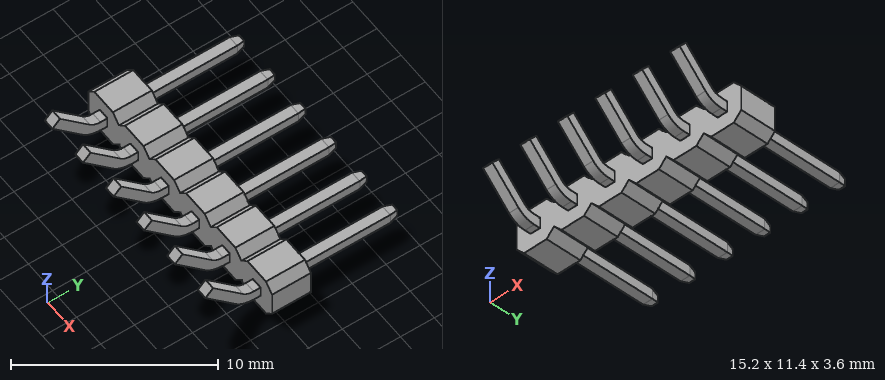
import cadquery as cq
import math


pin_count = 6
row_length = 15.24
pitch = row_length / pin_count
housing_height = 2.5
housing_depth = 2.3
corner_cut = 0.5

pin_size = 0.64
tip_size = 0.43
tip_length = 0.5
mating_length = 5.85

tail_stub = 0.41
bend_inner_radius = 0.88
bend_angle = 45.0
tail_length = 2.5


def housing_cell():
    """One pitch of the housing: a block with its four edges along Y cut at 45 degrees."""
    block = cq.Workplane("XY").box(pitch, housing_depth, housing_height)
    return block.edges("|Y").chamfer(corner_cut).translate((0, housing_depth / 2, 0))


def straight_pin():
    """Square bar from the start of the bend to the base of the tapered tip."""
    bar_length = tail_stub + housing_depth + mating_length - tip_length
    bar = cq.Workplane("XY").box(pin_size, bar_length, pin_size)
    return bar.translate((0, bar_length / 2 - tail_stub, 0))


def tapered_tip():
    """Four-sided taper that ends the pin on the mating side."""
    tip_base = housing_depth + mating_length - tip_length
    return (
        cq.Workplane("XZ", origin=(0, tip_base, 0))
        .rect(pin_size, pin_size)
        .workplane(offset=-tip_length)
        .rect(tip_size, tip_size)
        .loft(ruled=True)
    )


def bent_tail():
    """Circular bend followed by a straight stretch rising toward -Y, drawn as a YZ outline."""
    bend_outer_radius = bend_inner_radius + pin_size
    center_y = -tail_stub
    center_z = pin_size / 2 + bend_inner_radius
    bend_turn = math.radians(bend_angle)
    run_y = -tail_length * math.cos(bend_turn)
    rise_z = tail_length * math.sin(bend_turn)

    def on_bend(radius, turn):
        return (center_y - radius * math.sin(turn), center_z - radius * math.cos(turn))

    return (
        cq.Workplane("YZ")
        .moveTo(*on_bend(bend_outer_radius, 0))
        .threePointArc(on_bend(bend_outer_radius, bend_turn / 2), on_bend(bend_outer_radius, bend_turn))
        .line(run_y, rise_z)
        .lineTo(
            on_bend(bend_inner_radius, bend_turn)[0] + run_y,
            on_bend(bend_inner_radius, bend_turn)[1] + rise_z,
        )
        .line(-run_y, -rise_z)
        .threePointArc(on_bend(bend_inner_radius, bend_turn / 2), on_bend(bend_inner_radius, 0))
        .close()
        .extrude(pin_size / 2, both=True)
    )


position = housing_cell().union(straight_pin()).union(tapered_tip()).union(bent_tail())

result = position
for index in range(1, pin_count):
    result = result.union(position.translate((index * pitch, 0, 0)))

result = result.translate(((pitch - row_length) / 2, 0, 0))